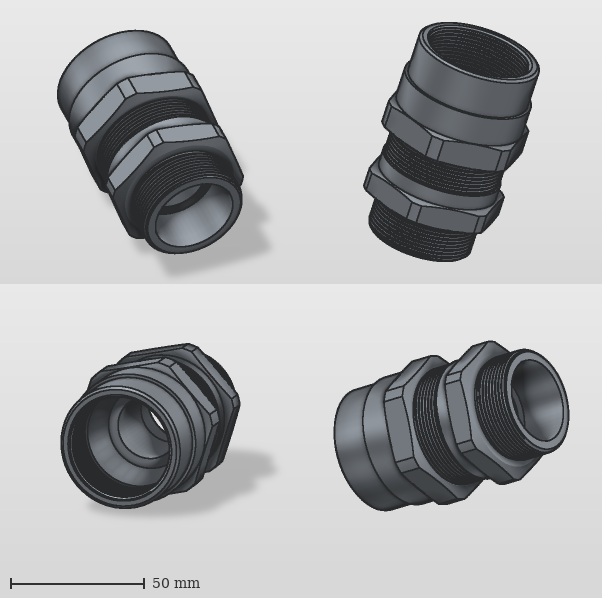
import cadquery as cq
import math

AXIS_TILT = 2.5
NUT_CORNER_ANGLE = 47.1
LENGTH = 79.45

PITCH = 1.5
THREAD_DEPTH = 0.8
CREST_WIDTH = 0.25
ROOT_WIDTH = 1.1
THREAD_EMBED = 0.2

SLEEVE_DIA = 47.0
SLEEVE_END = 19.8
SLEEVE_RIM_DIA = 44.8
SLEEVE_CHAMFER = 1.0
MOUTH_DIA = 40.9
MOUTH_CHAMFER = 1.05
FEMALE_MINOR_DIA = 38.4
FEMALE_THREAD_END = 16.2
FEMALE_CREST = 0.4
RELIEF_DIA = 40.7

COLLAR_DIA = 49.5
COLLAR_START = 15.6
CAP_HEX_START = 26.45
CAP_HEX_END = 37.7
CAP_FLATS = 50.0
CAP_CORNER_DIA = 55.2

SEAL_DIA = 40.9
SEAL_MOUTH_DIA = 38.6
SEAL_SEAT_DIA = 31.25

SPIGOT_START = 33.7
SPIGOT_DIA = 43.0
MID_THREAD_ROOT_DIA = 43.3
MID_THREAD_CREST = 39.4
SHOULDER_DIA = 46.0
SHOULDER_START = 49.3
ENTRY_HEX_START = 54.85
ENTRY_HEX_END = 64.7
ENTRY_FLATS = 48.0
ENTRY_CORNER_DIA = 53.2
ENTRY_NECK_DIA = 38.4
ENTRY_THREAD_START = 66.2
ENTRY_THREAD_CREST = 66.55
ENTRY_CHAMFER = 1.2
BORE_DIA = 23.8
BORE_END = 60.9
COUNTERBORE_DIA = 31.25

HEX_LAP = 1.6
OVERRUN = 6.5
NUT_FACE_INSET = 4.05
NUT_CHAMFER_ANGLE = 15


def turned(profile):
    """Solid of revolution about X from (x, diameter) pairs; the profile closes on itself."""
    points = [(x, dia / 2) for x, dia in profile]
    return cq.Workplane("XY").polyline(points).close().revolve(360, (0, 0, 0), (1, 0, 0))


def tube(start, end, outer_dia, inner_dia):
    """Straight tube about X."""
    return turned([(start, inner_dia), (start, outer_dia), (end, outer_dia), (end, inner_dia)])


def helical_ridge(start, end, crest_x, root_dia):
    """Right-handed thread ridge of trapezoid section that covers start..end and runs past both.

    It stands out from root_dia, and one crest lies at crest_x on the -Z side.
    """
    turns_before = math.ceil((crest_x - start) / PITCH) + 1
    first_crest = crest_x - turns_before * PITCH
    height = (math.ceil((end - first_crest) / PITCH) + 1) * PITCH
    root_radius = root_dia / 2
    base_radius = root_radius - THREAD_EMBED
    crest_radius = root_radius + THREAD_DEPTH
    base_width = ROOT_WIDTH + (ROOT_WIDTH - CREST_WIDTH) * THREAD_EMBED / THREAD_DEPTH
    helix = cq.Wire.makeHelix(PITCH, height, root_radius)
    ridge = (
        cq.Workplane("XZ")
        .polyline(
            [
                (base_radius, -base_width / 2),
                (crest_radius, -CREST_WIDTH / 2),
                (crest_radius, CREST_WIDTH / 2),
                (base_radius, base_width / 2),
            ]
        )
        .close()
        .sweep(cq.Workplane(helix), isFrenet=True)
    )
    return ridge.rotate((0, 0, 0), (0, 1, 0), 90).translate((first_crest, 0, 0))


def hexagon(start, end, flats, corner_dia):
    """Hexagon prism with rounded corners and both ends chamfered by shallow cones."""
    prism = (
        cq.Workplane("YZ", origin=(start, 0, 0))
        .polygon(6, flats / math.cos(math.pi / 6))
        .extrude(end - start)
        .rotate((0, 0, 0), (1, 0, 0), NUT_CORNER_ANGLE)
    )
    face_dia = flats - NUT_FACE_INSET
    chamfer = (corner_dia - face_dia) / 2 * math.tan(math.radians(NUT_CHAMFER_ANGLE))
    envelope = turned(
        [
            (start, 0),
            (start, face_dia),
            (start + chamfer, corner_dia),
            (end - chamfer, corner_dia),
            (end, face_dia),
            (end, 0),
        ]
    )
    return prism.intersect(envelope)


def make_sleeve():
    tapped = tube(-OVERRUN, SLEEVE_END + OVERRUN, SLEEVE_DIA, FEMALE_MINOR_DIA)
    groove = helical_ridge(0, FEMALE_THREAD_END, FEMALE_CREST, FEMALE_MINOR_DIA)
    tapped = tapped.cut(groove)
    outside = turned(
        [
            (0, 0),
            (0, SLEEVE_RIM_DIA),
            (SLEEVE_CHAMFER, SLEEVE_DIA),
            (SLEEVE_END, SLEEVE_DIA),
            (SLEEVE_END, 0),
        ]
    )
    mouth = turned([(0, 0), (0, MOUTH_DIA), (MOUTH_CHAMFER, FEMALE_MINOR_DIA), (MOUTH_CHAMFER, 0)])
    relief = tube(FEMALE_THREAD_END, SLEEVE_END, RELIEF_DIA, 0)
    return tapped.intersect(outside).cut(mouth).cut(relief)


def make_cap_nut():
    collar = tube(COLLAR_START, CAP_HEX_START + HEX_LAP, COLLAR_DIA, SEAL_DIA)
    body = hexagon(CAP_HEX_START, CAP_HEX_END, CAP_FLATS, CAP_CORNER_DIA).union(collar)
    bores = turned(
        [
            (COLLAR_START, 0),
            (COLLAR_START, SLEEVE_DIA),
            (SLEEVE_END, SLEEVE_DIA),
            (SLEEVE_END, SEAL_DIA),
            (SPIGOT_START, SEAL_DIA),
            (SPIGOT_START, SPIGOT_DIA),
            (CAP_HEX_END, SPIGOT_DIA),
            (CAP_HEX_END, 0),
        ]
    )
    return body.cut(bores)


def make_seal():
    return turned(
        [
            (SLEEVE_END, SEAL_MOUTH_DIA),
            (SLEEVE_END, SEAL_DIA),
            (SPIGOT_START, SEAL_DIA),
            (SPIGOT_START, SEAL_SEAT_DIA),
        ]
    )


def make_entry_body():
    core = turned(
        [
            (SPIGOT_START, 0),
            (SPIGOT_START, SPIGOT_DIA),
            (CAP_HEX_END, SPIGOT_DIA),
            (CAP_HEX_END, MID_THREAD_ROOT_DIA),
            (SHOULDER_START, MID_THREAD_ROOT_DIA),
            (SHOULDER_START, SHOULDER_DIA),
            (ENTRY_HEX_START + HEX_LAP, SHOULDER_DIA),
            (ENTRY_HEX_START + HEX_LAP, ENTRY_NECK_DIA),
            (LENGTH + OVERRUN, ENTRY_NECK_DIA),
            (LENGTH + OVERRUN, 0),
        ]
    )
    bore = tube(SPIGOT_START, BORE_END, BORE_DIA, 0)
    counterbore = tube(BORE_END, LENGTH + OVERRUN, COUNTERBORE_DIA, 0)
    nut = hexagon(ENTRY_HEX_START, ENTRY_HEX_END, ENTRY_FLATS, ENTRY_CORNER_DIA)
    mid = helical_ridge(CAP_HEX_END, SHOULDER_START, MID_THREAD_CREST, MID_THREAD_ROOT_DIA)
    mid = mid.intersect(tube(CAP_HEX_END, SHOULDER_START, COLLAR_DIA, BORE_DIA))
    outer = helical_ridge(ENTRY_THREAD_START, LENGTH, ENTRY_THREAD_CREST, ENTRY_NECK_DIA)
    outer = outer.intersect(tube(ENTRY_THREAD_START, LENGTH + OVERRUN, COLLAR_DIA, COUNTERBORE_DIA))
    major = ENTRY_NECK_DIA + 2 * THREAD_DEPTH
    trimming = turned(
        [
            (LENGTH - ENTRY_CHAMFER, COLLAR_DIA),
            (LENGTH - ENTRY_CHAMFER, major),
            (LENGTH, major - 2 * ENTRY_CHAMFER),
            (LENGTH, 0),
            (LENGTH + OVERRUN, 0),
            (LENGTH + OVERRUN, COLLAR_DIA),
        ]
    )
    blank = core.union(nut).union(mid).union(outer)
    return blank.cut(bore).cut(counterbore).cut(trimming)


def tilted(body):
    return body.rotate((0, 0, 0), (0, 0, 1), AXIS_TILT)


sleeve = tilted(make_sleeve())
cap_nut = tilted(make_cap_nut())
seal = tilted(make_seal())
entry_body = tilted(make_entry_body())

result = cq.Compound.makeCompound([sleeve.val(), cap_nut.val(), seal.val(), entry_body.val()])